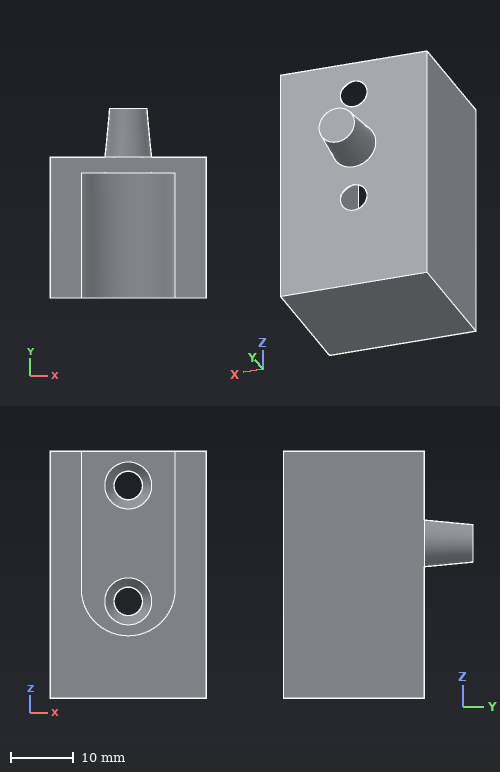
import cadquery as cq

block_width = 24.95
block_depth = 22.5
block_height = 39.5

slot_width = 15.0
slot_radius = slot_width / 2
back_wall = 2.5
floor_thickness = 10.0
slot_depth = block_depth - back_wall
slot_arc_z = floor_thickness + slot_radius

hole_wide_diameter = 7.5
hole_narrow_diameter = 4.5
lower_hole_z = 15.5
hole_spacing = 18.5
upper_hole_z = lower_hole_z + hole_spacing

peg_base_diameter = 7.5
peg_tip_diameter = 6.0
peg_length = 7.8
peg_z = (lower_hole_z + upper_hole_z) / 2


def make_block():
    """Block centred on X, front face at Y = 0, base at Z = 0."""
    return cq.Workplane("XY").box(
        block_width, block_depth, block_height, centered=(True, False, False)
    )


def make_slot():
    """Round-bottomed slot running from the front face to the back wall."""
    return (
        cq.Workplane("XZ")
        .moveTo(-slot_radius, block_height)
        .lineTo(-slot_radius, slot_arc_z)
        .threePointArc((0, floor_thickness), (slot_radius, slot_arc_z))
        .lineTo(slot_radius, block_height)
        .close()
        .extrude(-slot_depth)
    )


def make_cone(start_y, center_z, start_diameter, end_diameter, length):
    """Cone frustum on the X = 0 plane, running towards +Y from start_y."""
    start = cq.Vector(0, start_y, center_z)
    direction = cq.Vector(0, 1, 0)
    return cq.Workplane(
        cq.Solid.makeCone(start_diameter / 2, end_diameter / 2, length, start, direction)
    )


result = make_block().cut(make_slot())

for hole_z in (lower_hole_z, upper_hole_z):
    result = result.cut(
        make_cone(slot_depth, hole_z, hole_wide_diameter, hole_narrow_diameter, back_wall)
    )

result = result.union(
    make_cone(block_depth, peg_z, peg_base_diameter, peg_tip_diameter, peg_length)
)